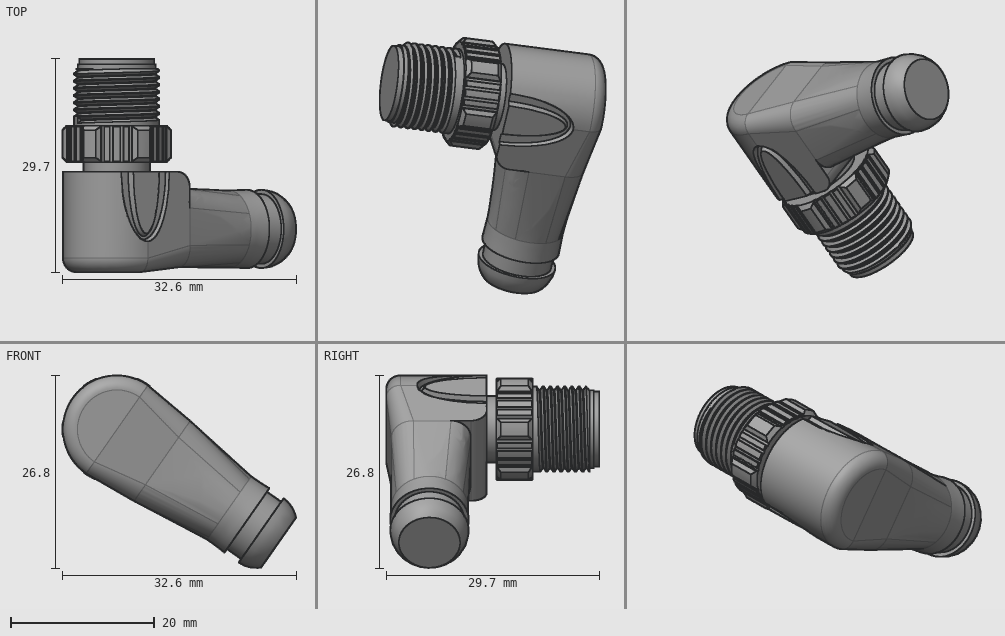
import cadquery as cq
import math

CABLE_ANGLE = 35.0
TOTAL_LENGTH = 29.7
OVERLAP = 0.2

BODY_R = 7.5
BODY_BACK_Y = -6.04
BODY_FRONT_Y = 7.97
BODY_EDGE_R = 2.0
SHOULDER_X = 7.67
SHOULDER_HALF_WIDTH = 6.82
SHOULDER_BACK_Y = -5.35
SHOULDER_CORNER_Y = 3.1
SHOULDER_CORNER_Z = 2.8
SHOULDER_EDGE_R = 2.2

NECK_FRONT_Y = 5.76
NECK_END_X = 19.06
NECK_END_R = 5.38
NECK_END_SIDE_ANGLE = 24.0
NECK_END_BACK_ANGLE = 60.0
CABLE_R = 5.47
GROOVE_START_X = 22.14
GROOVE_R = 4.87
CAP_START_X = 24.56
CAP_END_X = 27.52
CAP_END_R = 4.27

RECESS_HALF_WIDTH = 4.1
RECESS_LENGTH = 9.75
RECESS_WALL_RUN = 0.35
RECESS_FLOOR_Z = 6.5
PAD_HALF_WIDTH = 2.2
PAD_LENGTH = 8.6
PAD_WALL_RUN = 0.5
PAD_TOP_Z = 7.2

COLLAR_R = 4.65
NUT_START_Y = 9.3
NUT_END_Y = 14.4
BARREL_SHOULDER_Y = 22.9
BARREL_END_Y = BODY_BACK_Y + TOTAL_LENGTH
BARREL_TIP_R = 5.25
THREAD_R = 5.95
THREAD_ROOT_R = 5.45
THREAD_PITCH = 1.0
THREAD_END_Y = 22.3
THREAD_GROOVE_START_Y = 15.15
THREAD_GROOVE_START_ANGLE = 205.0
THREAD_GROOVE_ROOT_WIDTH = 0.15
THREAD_GROOVE_CREST_WIDTH = 0.85

LOBE_COUNT = 6
LOBE_R = 7.58
GRIP_R = 7.1
NUT_FACE_R = 6.95
LOBE_HALF_ANGLE = 7.3
LOBE_FOOT_HALF_ANGLE = 12.0
GRIP_GROOVE_ANGLES = (-16.0, -6.0, 6.0, 16.0)
GRIP_GROOVE_WIDTH = 0.45
GRIP_GROOVE_DEPTH = 0.25


def polar(radius, angle):
    a = math.radians(angle)
    return (radius * math.cos(a), radius * math.sin(a))


def cylinder(radius, y_start, y_end):
    """Cylinder about the Y axis."""
    return cq.Workplane("XZ", origin=(0, y_start, 0)).circle(radius).extrude(y_start - y_end)


def quarter_mid(corner_y, corner_z, size_y, size_z):
    """Middle of the elliptic quarter that rounds off a corner pointing to (corner_y, corner_z)."""
    inset = 1 - math.sqrt(0.5)
    return (
        corner_y - math.copysign(size_y * inset, corner_y),
        corner_z - math.copysign(size_z * inset, corner_z),
    )


def block_section(sketch, half_width, back_y, corner_y, corner_z):
    """Rectangle with its two back corners rounded."""
    side_y = back_y + corner_y
    flat_z = half_width - corner_z
    return (
        sketch.moveTo(BODY_FRONT_Y, -half_width)
        .lineTo(BODY_FRONT_Y, half_width)
        .lineTo(side_y, half_width)
        .threePointArc(quarter_mid(back_y, half_width, corner_y, corner_z), (back_y, flat_z))
        .lineTo(back_y, -flat_z)
        .threePointArc(quarter_mid(back_y, -half_width, corner_y, corner_z), (side_y, -half_width))
        .close()
    )


def elbow_body():
    """Half-round barrel side and tapering shoulder block."""
    barrel_side = cylinder(BODY_R, BODY_BACK_Y, BODY_FRONT_Y).faces("<Y").edges().fillet(BODY_EDGE_R)
    barrel_side = barrel_side.intersect(
        cq.Workplane("YZ").rect(4 * BODY_R, 4 * BODY_R).extrude(-2 * BODY_R)
    )
    sections = block_section(cq.Workplane("YZ"), BODY_R, BODY_BACK_Y, BODY_EDGE_R, BODY_EDGE_R)
    sections = block_section(
        sections.workplane(offset=SHOULDER_X),
        SHOULDER_HALF_WIDTH,
        SHOULDER_BACK_Y,
        SHOULDER_CORNER_Y,
        SHOULDER_CORNER_Z,
    )
    block = sections.loft(ruled=True, combine=True)
    block = block.faces(">X").edges(">Y").fillet(SHOULDER_EDGE_R)
    return barrel_side.union(block)


def tongue(half_width, length, z_low, z_high, run):
    """Elliptic tongue centred on the front face; run is its growth from z_low to z_high."""
    return (
        cq.Workplane("XY", origin=(0, BODY_FRONT_Y, z_low))
        .ellipse(half_width, length)
        .workplane(offset=z_high - z_low)
        .ellipse(half_width + run, length + run)
        .loft(combine=True)
    )


def flank_recess():
    """Material removed from the +Z flank."""
    return tongue(
        RECESS_HALF_WIDTH - RECESS_WALL_RUN,
        RECESS_LENGTH - RECESS_WALL_RUN,
        RECESS_FLOOR_Z,
        BODY_R + OVERLAP,
        RECESS_WALL_RUN,
    )


def flank_pad():
    """Pad standing in the recess of the +Z flank."""
    pad = tongue(
        PAD_HALF_WIDTH + PAD_WALL_RUN,
        PAD_LENGTH + PAD_WALL_RUN,
        RECESS_FLOOR_Z - OVERLAP,
        PAD_TOP_Z,
        -PAD_WALL_RUN,
    )
    beyond_front = cylinder(2 * BODY_R, BODY_FRONT_Y, BODY_FRONT_Y + 2 * PAD_LENGTH)
    return pad.cut(beyond_front)


def neck():
    """Transition from the rounded-rectangle shoulder to the round cable end."""
    z = SHOULDER_HALF_WIDTH
    flat_z = z - SHOULDER_CORNER_Z
    back_y = SHOULDER_BACK_Y
    front_y = NECK_FRONT_Y
    side_back_y = back_y + SHOULDER_CORNER_Y
    side_front_y = front_y - SHOULDER_CORNER_Z
    size_y = SHOULDER_CORNER_Y
    size_z = SHOULDER_CORNER_Z
    sections = (
        cq.Workplane("YZ", origin=(SHOULDER_X, 0, 0))
        .moveTo(side_back_y, -z)
        .lineTo(side_front_y, -z)
        .threePointArc(quarter_mid(front_y, -z, size_z, size_z), (front_y, -flat_z))
        .lineTo(front_y, flat_z)
        .threePointArc(quarter_mid(front_y, z, size_z, size_z), (side_front_y, z))
        .lineTo(side_back_y, z)
        .threePointArc(quarter_mid(back_y, z, size_y, size_z), (back_y, flat_z))
        .lineTo(back_y, -flat_z)
        .threePointArc(quarter_mid(back_y, -z, size_y, size_z), (side_back_y, -z))
        .close()
    )
    side = NECK_END_SIDE_ANGLE
    back = NECK_END_BACK_ANGLE
    stops = [-90 - side, -90 + side, back - 90, 90 - back, 90 - side, 90 + side, 90 + back, 270 - back]
    sections = sections.workplane(offset=NECK_END_X - SHOULDER_X).moveTo(*polar(NECK_END_R, stops[0]))
    for start, end in zip(stops, stops[1:] + [stops[0] + 360]):
        sections = sections.threePointArc(polar(NECK_END_R, (start + end) / 2), polar(NECK_END_R, end))
    return sections.close().loft(ruled=True, combine=True)


def cable_end():
    """Slightly flared sleeve, groove and domed cap, turned about the cable axis."""
    cap_length = CAP_END_X - CAP_START_X
    cap_drop = CABLE_R - CAP_END_R
    dome_r = (cap_length**2 + cap_drop**2) / (2 * cap_drop)
    mid_r, mid_x = polar(dome_r, math.degrees(math.asin(cap_length / dome_r)) / 2)
    profile = (
        cq.Workplane("XY")
        .moveTo(SHOULDER_X, 0)
        .lineTo(SHOULDER_X, GROOVE_R - OVERLAP)
        .lineTo(NECK_END_X, GROOVE_R - OVERLAP)
        .lineTo(NECK_END_X, NECK_END_R)
        .lineTo(GROOVE_START_X, CABLE_R)
        .lineTo(GROOVE_START_X, GROOVE_R)
        .lineTo(CAP_START_X, GROOVE_R)
        .lineTo(CAP_START_X, CABLE_R)
        .threePointArc((CAP_START_X + mid_x, CABLE_R - dome_r + mid_r), (CAP_END_X, CAP_END_R))
        .lineTo(CAP_END_X, 0)
        .close()
    )
    return profile.revolve(360, (0, 0, 0), (1, 0, 0))


def elbow():
    """Elbow with neck, cable end and flank pads, turned to the cable angle."""
    body = elbow_body().union(neck()).union(cable_end())
    recess = flank_recess()
    pad = flank_pad()
    body = body.cut(recess).cut(recess.mirror("XY"))
    body = body.union(pad).union(pad.mirror("XY"))
    return body.rotate((0, 0, 0), (0, 1, 0), CABLE_ANGLE)


def thread_groove():
    """Right-hand V groove starting at +X and open at the outer end of the thread."""
    outer_r = THREAD_R + OVERLAP
    flank_slope = (THREAD_GROOVE_CREST_WIDTH - THREAD_GROOVE_ROOT_WIDTH) / (THREAD_R - THREAD_ROOT_R)
    root_half = THREAD_GROOVE_ROOT_WIDTH / 2
    outer_half = root_half + flank_slope * (outer_r - THREAD_ROOT_R) / 2
    length = THREAD_END_Y + THREAD_PITCH / 2 - THREAD_GROOVE_START_Y
    path = cq.Wire.makeHelix(THREAD_PITCH, length, THREAD_ROOT_R)
    groove = (
        cq.Workplane("XZ")
        .moveTo(THREAD_ROOT_R, -root_half)
        .lineTo(outer_r, -outer_half)
        .lineTo(outer_r, outer_half)
        .lineTo(THREAD_ROOT_R, root_half)
        .close()
        .sweep(cq.Workplane(obj=path), isFrenet=True)
    )
    return groove.rotate((0, 0, 0), (1, 0, 0), -90).translate((0, THREAD_GROOVE_START_Y, 0))


def barrel():
    collar = cylinder(COLLAR_R, BODY_FRONT_Y - OVERLAP, NUT_START_Y + OVERLAP)
    threaded = cylinder(THREAD_R, NUT_END_Y - OVERLAP, THREAD_END_Y).cut(thread_groove())
    threaded = threaded.rotate((0, 0, 0), (0, 1, 0), THREAD_GROOVE_START_ANGLE)
    shoulder = cylinder(THREAD_ROOT_R, THREAD_END_Y - OVERLAP, BARREL_SHOULDER_Y)
    tip = cylinder(BARREL_TIP_R, BARREL_SHOULDER_Y - OVERLAP, BARREL_END_Y)
    return collar.union(threaded).union(shoulder).union(tip)


def nut():
    """Knurled coupling nut with both outer edges chamfered."""
    length = NUT_END_Y - NUT_START_Y
    chamfer = LOBE_R - NUT_FACE_R
    step = 360 / LOBE_COUNT
    outline = cq.Workplane("XZ", origin=(0, NUT_START_Y, 0)).moveTo(*polar(GRIP_R, -LOBE_FOOT_HALF_ANGLE))
    for i in range(LOBE_COUNT):
        lobe = i * step
        next_foot = lobe + step - LOBE_FOOT_HALF_ANGLE
        outline = (
            outline.lineTo(*polar(LOBE_R, lobe - LOBE_HALF_ANGLE))
            .threePointArc(polar(LOBE_R, lobe), polar(LOBE_R, lobe + LOBE_HALF_ANGLE))
            .lineTo(*polar(GRIP_R, lobe + LOBE_FOOT_HALF_ANGLE))
            .threePointArc(polar(GRIP_R, lobe + step / 2), polar(GRIP_R, next_foot))
        )
    ring = outline.close().extrude(-length)
    groove = cq.Workplane("XY").box(2 * GRIP_GROOVE_DEPTH, length + OVERLAP, GRIP_GROOVE_WIDTH)
    groove = groove.translate((GRIP_R, NUT_START_Y + length / 2, 0))
    for i in range(LOBE_COUNT):
        for offset in GRIP_GROOVE_ANGLES:
            ring = ring.cut(groove.rotate((0, 0, 0), (0, 1, 0), (i + 0.5) * step + offset))
    envelope = cylinder(LOBE_R, NUT_START_Y, NUT_END_Y).edges().chamfer(chamfer)
    return ring.intersect(envelope)


result = elbow().union(barrel()).union(nut())